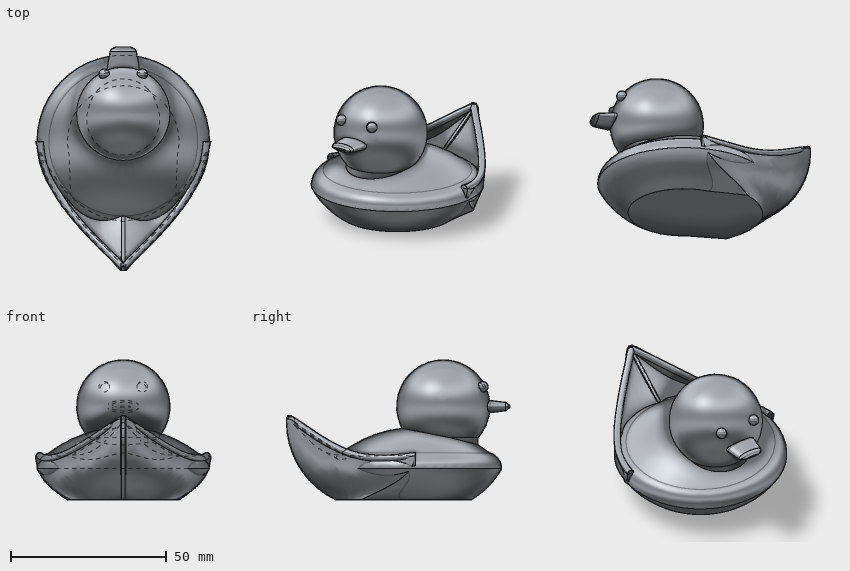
import cadquery as cq
import math

TAIL_TIP_Y = -41.45
BEAK_TIP_Y = 30.34

WAIST_RADIUS = 27.7
WAIST_Z = 10.0
BASE_RADIUS = 17.9
SHOULDER_RADIUS = 23.9
SHOULDER_Z = 15.0
BACK_TOP_Z = 23.2
BILGE_BULGE = 0.95
SHOULDER_BULGE = 1.0

HEAD_RADIUS = 15.0
HEAD_Y = 8.9
HEAD_Z = 29.92
NECK_DROP = 10.0
NECK_TOP_Z = HEAD_Z - NECK_DROP
NECK_RADIUS = math.sqrt(HEAD_RADIUS**2 - NECK_DROP**2)
EYE_RADIUS = 1.7
EYE_X = 6.1
EYE_Y = 21.6
EYE_Z = 36.25

BEAK_BASE_Y = HEAD_Y + HEAD_RADIUS
BEAK_LIP_Y = 28.8
BEAK_ROOT_DEPTH = 5.0
BEAK_BASE_HALF = (5.1, 2.0)
BEAK_LIP_HALF = (4.25, 1.4)
BEAK_ROUND_Y = 29.7
BEAK_ROUND_HALF = (3.7, 0.8)
BEAK_TIP_HALF = (2.4, 0.25)

KEEL_HALF_WIDTH = 0.55
KEEL_FOOT_Y = -25.7
KEEL_UPRIGHT_Z = 25.0
HULL_RECESS = 0.2
HULL_KEEL_HALF_WIDTH = 0.9
HULL_TOP_Z = 28.0
HULL_SECTIONS = [
    (0.0, 17.5, (16.9, -17.3), (10.7, -22.4)),
    (4.3, 22.8, (23.7, -8.6), (14.8, -22.5)),
    (WAIST_Z, 27.2, (27.4, -1.6), (17.2, -23.4)),
    (18.0, 28.2, (28.0, -0.8), (12.7, -28.2)),
    (HULL_TOP_Z, 28.8, (28.6, -0.8), (13.3, -28.2)),
]

RAIL_RADIUS = 1.1
RAIL_END_Y = TAIL_TIP_Y + RAIL_RADIUS
RAIL_POINTS = [
    (26.8, 0.0, 14.1),
    (24.5, -9.4, 13.3),
    (19.8, -18.6, 14.1),
    (15.9, -23.8, 15.9),
    (10.4, -30.0, 19.2),
    (0.0, RAIL_END_Y, 26.0),
]

HALF_SPACE_SIZE = 100.0

DISH_WALL = 1.6
OVERLAP = 2.0
DISH_STATIONS = [(-OVERLAP, 0.9), (0.0, 0.9), (5.0, 2.6), (12.0, 3.0), (30.0, 3.0)]
CREST_FRONT_Y = -SHOULDER_RADIUS


def bulged_point(start, end, bulge):
    """Point off the middle of a chord, on its right-hand side."""
    run = end[0] - start[0]
    rise = end[1] - start[1]
    length = math.hypot(run, rise)
    middle_x = (start[0] + end[0]) / 2 + bulge * rise / length
    middle_y = (start[1] + end[1]) / 2 - bulge * run / length
    return (middle_x, middle_y)


def make_body():
    base = (BASE_RADIUS, 0.0)
    waist = (WAIST_RADIUS, WAIST_Z)
    shoulder = (SHOULDER_RADIUS, SHOULDER_Z)
    back_rise = BACK_TOP_Z - SHOULDER_Z
    back_radius = (SHOULDER_RADIUS**2 + back_rise**2) / (2 * back_rise)
    back_middle_r = SHOULDER_RADIUS / 2
    back_middle_z = BACK_TOP_Z - back_radius + math.sqrt(back_radius**2 - back_middle_r**2)
    profile = (
        cq.Workplane("XZ")
        .lineTo(*base)
        .threePointArc(bulged_point(base, waist, BILGE_BULGE), waist)
        .threePointArc(bulged_point(waist, shoulder, SHOULDER_BULGE), shoulder)
        .threePointArc((back_middle_r, back_middle_z), (0, BACK_TOP_Z))
        .close()
    )
    return profile.revolve(360, (0, 0, 0), (0, 1, 0))


def make_head():
    head = cq.Workplane("XY").sphere(HEAD_RADIUS).translate((0, HEAD_Y, HEAD_Z))
    neck = (
        cq.Workplane("XY", origin=(0, HEAD_Y, SHOULDER_Z))
        .circle(NECK_RADIUS)
        .extrude(NECK_TOP_Z - SHOULDER_Z)
    )
    head = head.union(neck)
    for side in (-1, 1):
        eye = cq.Workplane("XY").sphere(EYE_RADIUS).translate((side * EYE_X, EYE_Y, EYE_Z))
        head = head.union(eye)
    return head


def beak_stage(start_y, start_half, end_y, end_half):
    """Tapered length of beak between two elliptical sections."""
    return (
        cq.Workplane("XZ", origin=(0, start_y, HEAD_Z))
        .ellipse(*start_half)
        .workplane(offset=start_y - end_y)
        .ellipse(*end_half)
        .loft(ruled=True)
    )


def make_beak():
    root = (
        cq.Workplane("XZ", origin=(0, BEAK_BASE_Y, HEAD_Z))
        .ellipse(*BEAK_BASE_HALF)
        .extrude(BEAK_ROOT_DEPTH)
    )
    bill = beak_stage(BEAK_BASE_Y, BEAK_BASE_HALF, BEAK_LIP_Y, BEAK_LIP_HALF)
    rounding = beak_stage(BEAK_LIP_Y, BEAK_LIP_HALF, BEAK_ROUND_Y, BEAK_ROUND_HALF)
    tip = beak_stage(BEAK_ROUND_Y, BEAK_ROUND_HALF, BEAK_TIP_Y, BEAK_TIP_HALF)
    return root.union(bill).union(rounding).union(tip)


def keel_y(z):
    """Keel line: a circular arc that turns upright at KEEL_UPRIGHT_Z."""
    sweep = KEEL_FOOT_Y - TAIL_TIP_Y
    radius = (KEEL_UPRIGHT_Z**2 + sweep**2) / (2 * sweep)
    height_left = max(KEEL_UPRIGHT_Z - z, 0.0)
    return TAIL_TIP_Y + radius - math.sqrt(radius**2 - height_left**2)


def hull_wire(section, inset):
    """Closed outline of the +X half of a hull section, drawn in from its full size by inset."""
    z, front_half_width, chine, flank = section
    keel_end_y = keel_y(z) + HULL_RECESS + inset * math.sqrt(2)
    front_middle = cq.Vector(0, 0, z)
    front_corner = cq.Vector(front_half_width - inset, 0, z)
    side = [
        cq.Vector(chine[0] - inset, chine[1], z),
        cq.Vector(flank[0] - inset, flank[1], z),
        cq.Vector(HULL_KEEL_HALF_WIDTH, keel_end_y, z),
    ]
    keel_middle = cq.Vector(0, keel_end_y, z)
    edges = [
        cq.Edge.makeLine(front_middle, front_corner),
        cq.Edge.makeLine(front_corner, side[0]),
        cq.Edge.makeSpline(side),
        cq.Edge.makeLine(side[-1], keel_middle),
        cq.Edge.makeLine(keel_middle, front_middle),
    ]
    return cq.Wire.assembleEdges(edges)


def make_hull(inset=0.0):
    """Solid +X half of the hull, before its rim and hollow are cut."""
    wires = [hull_wire(section, inset) for section in HULL_SECTIONS]
    return cq.Workplane(cq.Solid.makeLoft(wires))


def open_space_wire(x, drop):
    """Closed outline, in the plane at x, of the space over the rail's side-on curve lowered by drop."""
    curve = [cq.Vector(x, y, z - drop) for _, y, z in RAIL_POINTS]
    ceiling = 2 * HULL_TOP_Z
    behind = 2 * TAIL_TIP_Y
    outer = [
        curve[-1],
        cq.Vector(x, behind, curve[-1].z),
        cq.Vector(x, behind, ceiling),
        cq.Vector(x, OVERLAP, ceiling),
        cq.Vector(x, OVERLAP, curve[0].z),
        curve[0],
    ]
    sides = [cq.Edge.makeLine(p, q) for p, q in zip(outer, outer[1:])]
    return cq.Wire.assembleEdges([cq.Edge.makeSpline(curve)] + sides)


def make_dish():
    """Hollow of one half of the tail: its floor falls away from the keel crest."""
    wires = [open_space_wire(x, drop) for x, drop in DISH_STATIONS]
    return make_hull(DISH_WALL).intersect(cq.Workplane(cq.Solid.makeLoft(wires)))


def make_rim_space():
    """Everything above the rail's side-on curve on the +X side."""
    outline = open_space_wire(-OVERLAP, 0.0)
    reach = cq.Vector(2 * WAIST_RADIUS, 0, 0)
    return cq.Workplane(cq.Solid.extrudeLinear(outline, [], reach))


def make_rail():
    """Round rail of one half, trimmed to X > 0 and to the front end plane Y = 0."""
    path = cq.Workplane("XY").spline([cq.Vector(*point) for point in RAIL_POINTS])
    section_plane = cq.Plane(RAIL_POINTS[0], xDir=(1, 0, 0), normal=path.val().tangentAt(0))
    rail = cq.Workplane(section_plane).circle(RAIL_RADIUS).sweep(path)
    half_space = (
        cq.Workplane("XY")
        .rect(HALF_SPACE_SIZE, -HALF_SPACE_SIZE, centered=False)
        .extrude(HALF_SPACE_SIZE)
    )
    return rail.intersect(half_space)


def make_keel():
    """Upright central web with the keel arc behind and the sloping crest of the hollow on top."""
    middle_z = KEEL_UPRIGHT_Z / 2
    rail_end_z = RAIL_POINTS[-1][2]
    crest_top = (RAIL_END_Y, rail_end_z + RAIL_RADIUS)
    nose = RAIL_RADIUS * math.sqrt(0.5)
    return (
        cq.Workplane("YZ")
        .moveTo(0, 0)
        .lineTo(KEEL_FOOT_Y, 0)
        .threePointArc((keel_y(middle_z), middle_z), (TAIL_TIP_Y, KEEL_UPRIGHT_Z))
        .lineTo(TAIL_TIP_Y, rail_end_z)
        .threePointArc((RAIL_END_Y - nose, rail_end_z + nose), crest_top)
        .lineTo(RAIL_END_Y + RAIL_RADIUS, rail_end_z - RAIL_RADIUS)
        .lineTo(CREST_FRONT_Y, SHOULDER_Z)
        .lineTo(0, SHOULDER_Z)
        .close()
        .extrude(KEEL_HALF_WIDTH, both=True)
    )


def make_tail():
    half = make_hull().cut(make_rim_space()).cut(make_dish()).union(make_rail())
    return half.union(half.mirror("YZ")).union(make_keel())


result = make_body().union(make_tail()).union(make_head()).union(make_beak())